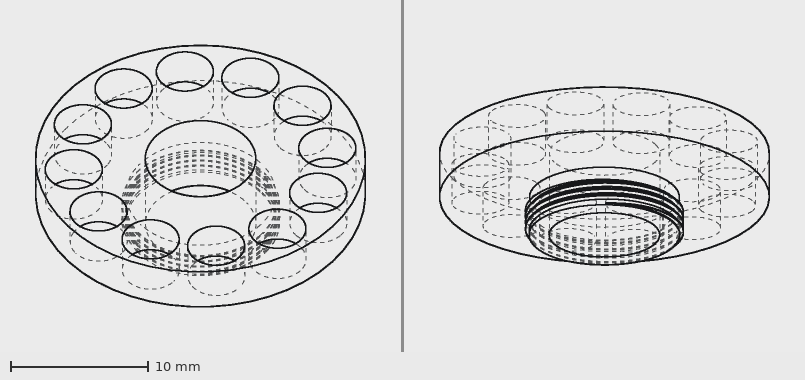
import cadquery as cq
import math

flange_diameter = 24.0
flange_height = 3.5
pocket_count = 12
pocket_diameter = 4.15
pocket_circle_radius = 9.3
pocket_depth = 3.0

bore_diameter = 8.05
collar_diameter = 10.9
collar_height = 1.0
thread_length = 2.0
neck_height = collar_height + thread_length
total_height = neck_height + flange_height

thread_root_diameter = 10.97
thread_crest_diameter = 11.5
thread_pitch = 0.5
crest_width = thread_pitch / 8
root_width = thread_pitch * 7 / 8
thread_start_height = 0.25
fade_turns = 0.25
core_seam_angle = 200.0
root_overlap = 0.05
points_per_turn = 36

root_radius = thread_root_diameter / 2
crest_radius = thread_crest_diameter / 2
buried_radius = root_radius - root_overlap
first_turn = -fade_turns
last_turn = (thread_length + thread_pitch - thread_start_height) / thread_pitch


def ridge_edge(radius, width, side):
    """Helical edge of the ridge on its lower (side -1) or upper (side 1) flank."""
    steps = math.ceil((last_turn - first_turn) * points_per_turn)
    start_size = 0.05
    points = []
    for step in range(steps + 1):
        turn = first_turn + (last_turn - first_turn) * step / steps
        size = max(start_size, min(1, (turn - first_turn) / fade_turns))
        angle = 2 * math.pi * turn
        r = buried_radius + size * (radius - buried_radius)
        z = thread_start_height + turn * thread_pitch + side * size * width / 2
        points.append(cq.Vector(r * math.cos(angle), r * math.sin(angle), z))
    return cq.Edge.makeSpline(points)


def make_thread_ridge():
    """Trapezoidal helical ridge, trimmed to the threaded length."""
    edges = [
        ridge_edge(buried_radius, root_width, -1),
        ridge_edge(crest_radius, crest_width, -1),
        ridge_edge(crest_radius, crest_width, 1),
        ridge_edge(buried_radius, root_width, 1),
    ]
    faces = []
    for edge, neighbour in zip(edges, edges[1:] + edges[:1]):
        faces.append(cq.Face.makeRuledSurface(edge, neighbour))
    for end in (0, 1):
        corners = [edge.positionAt(end) for edge in edges]
        outline = cq.Wire.makePolygon(corners, close=True)
        faces.append(cq.Face.makeFromWires(outline))
    ridge = cq.Solid.makeSolid(cq.Shell.makeShell(faces))
    trim = cq.Workplane("XY").circle(flange_diameter / 2).extrude(thread_length)
    return trim.intersect(cq.Workplane(ridge))


def make_body():
    """Flange, collar and thread core stacked along Z."""
    core = (
        cq.Workplane("XY")
        .circle(root_radius)
        .extrude(thread_length)
        .rotate((0, 0, 0), (0, 0, 1), core_seam_angle)
    )
    collar = (
        cq.Workplane("XY", origin=(0, 0, thread_length))
        .circle(collar_diameter / 2)
        .extrude(collar_height)
    )
    flange = (
        cq.Workplane("XY", origin=(0, 0, neck_height))
        .circle(flange_diameter / 2)
        .extrude(flange_height)
    )
    return core.union(make_thread_ridge()).union(collar).union(flange)


pockets = (
    cq.Workplane("XY", origin=(0, 0, total_height))
    .polarArray(pocket_circle_radius, 0, 360, pocket_count)
    .circle(pocket_diameter / 2)
    .extrude(-pocket_depth)
)
bore = cq.Workplane("XY").circle(bore_diameter / 2).extrude(total_height)

result = make_body().cut(pockets).cut(bore).solids()